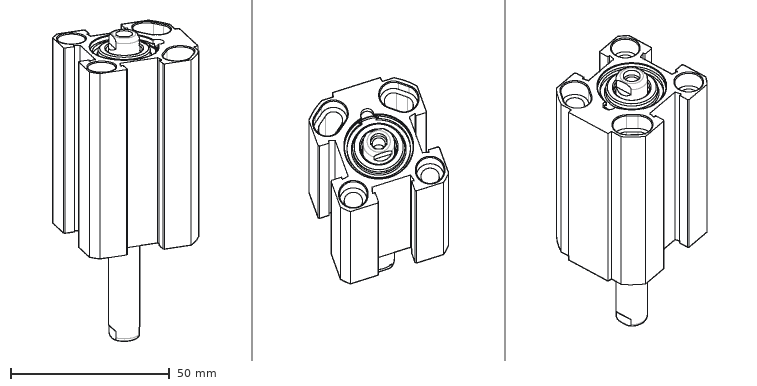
import cadquery as cq
import math


housing_height = 63.0
half_width = 18.0
rib_top = 21.9
rib_half_width = 7.9
rib_root_half_width = 8.1
shoulder = 20.5
corner_radius = 23.8

groove_half_opening = 6.1
groove_lip_radius = 0.3
groove_floor = 12.4
groove_floor_half_width = 6.4
undercut_start = 14.4
undercut_half_width = 6.9

mount_offset = 12.8
mount_diameter = 5.8
counterbore_diameter = 8.8
counterbore_depth = 5.7
counterbore_chamfer = 0.3
slot_end_x = 10.0
slot_end_y = 15.0

seat_diameter = 21.6
seat_chamfer = 0.2
seat_depth = 10.3
ring_top_depth = 1.4
ring_thickness = 1.2
ring_outer_diameter = 22.8
ring_inner_diameter = 20.0
ring_gap_inner = 4.7
ring_gap_outer = 8.7
relief_diameter = 4.1
relief_center_y = 11.3
relief_depth = 2.3

boss_diameter = 16.5
boss_chamfer = 0.5
boss_root_flare = 0.4
boss_top_depth = 0.4
collar_hole_diameter = 10.5
collar_recess_diameter = 11.4
collar_recess_depth = 2.1
collar_recess_chamfer = 0.4

rod_diameter = 10.0
rod_length = 103.0
rod_top_reach = 4.4
rod_end_fillet = 1.3
flat_half_width = 4.0
flat_length = 3.5
end_hole_mouth_diameter = 5.3
end_hole_mouth_depth = 2.0
end_hole_mouth_cone = 0.3
drill_diameter = 4.1
drill_depth = 8.2
drill_tip_angle = 118.0

flange_top = housing_height - ring_top_depth - ring_thickness
seat_floor = housing_height - seat_depth
rod_middle = housing_height + rod_top_reach - rod_length / 2


def cylinder(diameter, bottom, top, x=0.0, y=0.0):
    return cq.Workplane("XY", origin=(x, y, bottom)).circle(diameter / 2).extrude(top - bottom)


def cone(bottom_diameter, top_diameter, bottom, top):
    solid = cq.Solid.makeCone(
        bottom_diameter / 2, top_diameter / 2, top - bottom, pnt=cq.Vector(0, 0, bottom)
    )
    return cq.Workplane(obj=solid)


def turned(half_outline):
    """Revolves an outline of (radius, height) points about the Z axis."""
    return cq.Workplane("XZ").polyline(half_outline).close().revolve(360, (0, 0, 0), (0, 1, 0))


def long_hole_sketch(diameter, side, level):
    """Slot outline from the mounting hole place to the slot's inner end, drawn at the given height."""
    dx = mount_offset - slot_end_x
    dy = slot_end_y - mount_offset
    return (
        cq.Workplane("XY", origin=(0, 0, level))
        .center(side * (mount_offset + slot_end_x) / 2, (mount_offset + slot_end_y) / 2)
        .slot2D(math.hypot(dx, dy) + diameter, diameter, -side * math.degrees(math.atan2(dy, dx)))
    )


def round_hole_sketch(diameter, side, level):
    """Circle at a mounting hole place on the -Y side, drawn at the given height."""
    place = (side * mount_offset, -mount_offset, level)
    return cq.Workplane("XY", origin=place).circle(diameter / 2)


def groove_cutter(angle):
    """The -Y groove, with rounded lips, turned about the rod axis by the angle."""
    lip_x = groove_half_opening + groove_lip_radius
    lip_y = -half_width + groove_lip_radius
    cutter = (
        cq.Workplane("XY")
        .moveTo(lip_x, -half_width)
        .radiusArc((groove_half_opening, lip_y), -groove_lip_radius)
        .lineTo(groove_half_opening, -undercut_start)
        .lineTo(undercut_half_width, -undercut_start)
        .lineTo(groove_floor_half_width, -groove_floor)
        .lineTo(-groove_floor_half_width, -groove_floor)
        .lineTo(-undercut_half_width, -undercut_start)
        .lineTo(-groove_half_opening, -undercut_start)
        .lineTo(-groove_half_opening, lip_y)
        .radiusArc((-lip_x, -half_width), -groove_lip_radius)
        .close()
        .extrude(housing_height)
    )
    return cutter.rotate((0, 0, 0), (0, 0, 1), angle)


def make_profile():
    half_outline = [
        (half_width, -half_width),
        (half_width, shoulder),
        (rib_root_half_width, shoulder),
        (rib_half_width, rib_top),
    ]
    mirrored = [(-x, y) for x, y in reversed(half_outline)]
    block = cq.Workplane("XY").polyline(half_outline + mirrored).close().extrude(housing_height)
    block = block.intersect(cylinder(2 * corner_radius, 0, housing_height))
    for angle in (-90, 0, 90):
        block = block.cut(groove_cutter(angle))
    return block


def cut_mounting_holes(block):
    top = housing_height
    mouth_diameter = counterbore_diameter + 2 * counterbore_chamfer
    for sketch in (round_hole_sketch, long_hole_sketch):
        for side in (-1, 1):
            block = block.cut(sketch(mount_diameter, side, top).extrude(-top))
            block = block.cut(sketch(counterbore_diameter, side, top).extrude(-counterbore_depth))
            block = block.cut(sketch(mouth_diameter, side, top).extrude(-counterbore_chamfer, taper=45))
    return block


def make_housing():
    top = housing_height
    block = cut_mounting_holes(make_profile())
    block = block.cut(cylinder(rod_diameter, 0, top))
    block = block.cut(cylinder(seat_diameter, seat_floor, top))
    block = block.cut(cone(seat_diameter, seat_diameter + 2 * seat_chamfer, top - seat_chamfer, top))
    block = block.cut(cylinder(ring_outer_diameter, flange_top, flange_top + ring_thickness))
    return block.cut(cylinder(relief_diameter, top - relief_depth, top, 0, relief_center_y))


def make_retaining_ring():
    ring = cylinder(ring_outer_diameter, flange_top, flange_top + ring_thickness)
    ring = ring.cut(cylinder(ring_inner_diameter, flange_top, flange_top + ring_thickness))
    inner_x = ring_gap_inner / 2
    outer_x = ring_gap_outer / 2
    inner_y = math.sqrt((ring_inner_diameter / 2) ** 2 - inner_x**2)
    outer_y = math.sqrt((ring_outer_diameter / 2) ** 2 - outer_x**2)
    half_outline = [(inner_x, inner_y), (outer_x, outer_y), (outer_x, ring_outer_diameter / 2)]
    mirrored = [(-x, y) for x, y in reversed(half_outline)]
    gap = cq.Workplane("XY", origin=(0, 0, flange_top)).polyline(half_outline + mirrored).close()
    return ring.cut(gap.extrude(ring_thickness))


def make_collar():
    top = housing_height - boss_top_depth
    hole = collar_hole_diameter / 2
    recess = collar_recess_diameter / 2
    recess_floor = top - collar_recess_depth
    boss = boss_diameter / 2
    seat = seat_diameter / 2
    return turned([
        (hole, seat_floor),
        (seat, seat_floor),
        (seat, flange_top),
        (boss + boss_root_flare, flange_top),
        (boss, flange_top + boss_root_flare),
        (boss, top - boss_chamfer),
        (boss - boss_chamfer, top),
        (recess + collar_recess_chamfer, top),
        (recess, top - collar_recess_chamfer),
        (recess, recess_floor),
        (hole, recess_floor - (recess - hole)),
    ])


def flat_cutter(side):
    """Cuts one wrench flat at the upper rod end; the flat runs out at 45 degrees."""
    end = rod_length / 2
    outside = rod_diameter / 2
    run_out = outside - flat_half_width
    outline = [
        (side * flat_half_width, end),
        (side * flat_half_width, end - flat_length),
        (side * outside, end - flat_length - run_out),
        (side * outside, end),
    ]
    return cq.Workplane("YZ").polyline(outline).close().extrude(outside, both=True)


def end_hole_cutter():
    """Hole in the upper rod end: wide mouth, short cone, drilled core and drill tip."""
    end = rod_length / 2
    tip_length = drill_diameter / 2 / math.tan(math.radians(drill_tip_angle / 2))
    return turned([
        (0, end),
        (end_hole_mouth_diameter / 2, end),
        (end_hole_mouth_diameter / 2, end - end_hole_mouth_depth),
        (drill_diameter / 2, end - end_hole_mouth_depth - end_hole_mouth_cone),
        (drill_diameter / 2, end - drill_depth),
        (0, end - drill_depth - tip_length),
    ])


def make_rod():
    """Both ends of the rod are alike, so it is built about its middle and moved into place."""
    rod = cylinder(rod_diameter, -rod_length / 2, rod_length / 2)
    rod = rod.edges("%CIRCLE").fillet(rod_end_fillet)
    for cutter in (flat_cutter(-1), flat_cutter(1), end_hole_cutter()):
        rod = rod.cut(cutter).cut(cutter.mirror("XY"))
    return rod.translate((0, 0, rod_middle))


housing = make_housing()
retaining_ring = make_retaining_ring()
collar = make_collar()
rod = make_rod()

result = cq.Compound.makeCompound([housing.val(), retaining_ring.val(), collar.val(), rod.val()])